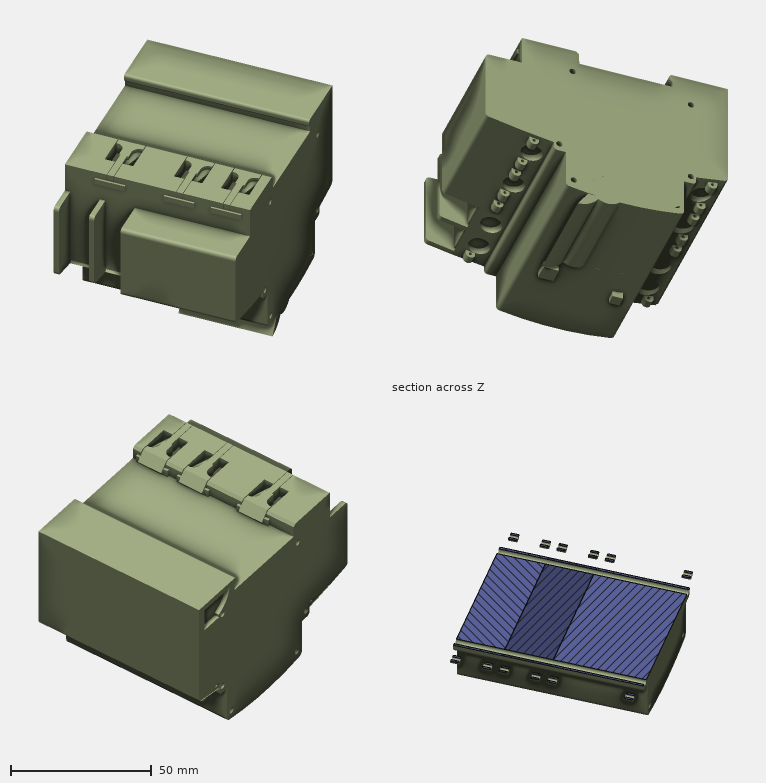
import cadquery as cq
import math


WIDE = 35.0
NARROW = 18.0
NARROW_STARTS = (WIDE, WIDE + NARROW)
MODULES = [(0, WIDE)] + [(start, NARROW) for start in NARROW_STARTS]

BACK = 92.0
TOP = 72.0
WALL_FRONT = 13.8
MIDDLE = (BACK + WALL_FRONT) / 2
HALF_DEPTH = (BACK - WALL_FRONT) / 2
SEAT_Z = 66.5
SEAT_FRONT = 35.4
SEAT_BACK = 70.8
LIP = 1.1
LIP_BOTTOM = 68.7
EDGE_CHAMFER = 1.0
SLOPE_OUTER_Z = 28.15
SLOPE_INNER_Z = 26.2
SHOULDER_HALF = 27.0
SHOULDER_Z = 22.9
UNDERSIDE_SLOPE = (SLOPE_OUTER_Z - SLOPE_INNER_Z) / (HALF_DEPTH - SHOULDER_HALF)
SHOULDER_ROUND = 1.4
CORE_HALF = 22.45
CORE_CORNER_Z = 7.4
CORE_BOTTOM_Z = 5.2
CORE_ROUND = 1.75
OVERLAP = 9.2

BOX_TOP = 60.3
BOX_START = 26.9
BOX_ROUND = 1.6
BOX_RISE = 0.2
RIB_FRONT = 3.1
RIB_THICK = 2.0
RIB_STARTS = (0, 13.5)
UNDERCUT_TOP = 29.5
UNDERCUT_DEPTH = 1.8

RIVET_R = 1.2
RIVETS = ((77.9, 60.2), (33.0, 62.1), (77.9, 26.0), (28.0, 26.0), (33.5, 10.6))
WEB_RIVET = (72.6, 10.6)
WEB_OFFSET = 0.5
WEB_SIZE = 3 * RIVET_R
WEB_TILT = 55
SIDE_POCKET_DEPTH = 1.8
POCKET_BACK = 88.9
POCKET_TOP = 69.6
POCKET_BOTTOM = 60.2
POCKET_TOP_CORNER = 73.8
POCKET_CURVE_MID = (75.4, 65.3)
POCKET_CURVE_END = (78.3, 62.6)
POCKET_STEP = (80.1, 61.4)
HINGE_RECESS_DEPTH = 0.3
HINGE_OFFSET = 28.3
HINGE_Z = 27.9
HINGE_R = 1.5
COVER_INSET = 0.3
COVER_DIP = (20.2, 28.4)
PIVOT_R = 0.6
LOOP_OFFSET = 33.9
LOOP_Z = 26.2
LOOP_R = 1.75
LOOP_HOLE_R = 0.6
LOOP_WIDTH = 3.1
LOOP_INSET = 1.6
LOOP_NECK = 2.6
ACCESS_R = 4.0
ACCESS_Y = 20.8
ACCESS_TOP = 29.4
WIDE_ACCESS = (8.7, 20.8)
NARROW_ACCESS = (9.0,)
PEG_SIZE = 4.0
PEG_X = 21.1
PEG_Y = 65.4
FOOT_BOTTOM = 3.6

HEAD_WIDTH = 10.2
CLIP_POCKET_WIDTH = 10.9
CLIP_POCKET_FRONT = 21.9
SHANK_WIDTH = 3.7
SHANK_BACK = 29.7
SHANK_FRONT = 26.4
HEAD_FRONT = 32.1
HOLLOW_MID = (2.7, 31.3)
STEM_WIDTH = 2.5
SLOT_WIDTH = 2.85
NOSE_Y = 37.8
NOSE_Z = 68.45
NOSE_FOOT_Y = 36.4
WING_WIDTH = 13.9
WING_TOP = 69.5
SKIRT_LEFT_HEIGHT = 0.9
SKIRT_RIGHT_HEIGHT = 4.0
SKIRT_TIP = 2.2
HANDLE_WIDTH = 11.6
HANDLE_THICK = 0.7
HANDLE_BOTTOM = 67.2
HANDLE_TOP = 69.4

HUB_Y = 46.4
HUB_Z = 9.6
HUB_R = 6.3
TAIL_ROOT_BACK = (42.8, 4.5)
TAIL_BELLY = (39.6, 1.3)
TAIL_TIP = (35.05, 0)
TAIL_SHOULDER = (38.9, 5.8)
TAIL_ROOT_FRONT = (41.8, 5.6)
BUTTON_SIZE = 5.9
BUTTON_X = 25.1
BUTTON_Y = 37.0
BUTTON_TOP = 8.3
BUTTON_ROUND = 0.4


def side_plane(x):
    """Drawing plane across X: local coordinates are y and z, extrusion goes toward +X."""
    return cq.Workplane("YZ", origin=(x, 0, 0))


def block(x, y, z, dx, dy, dz):
    return cq.Workplane("XY").box(dx, dy, dz, centered=False).translate((x, y, z))


def flip(solid):
    """Mirror image of a solid on the other side of the plane y = MIDDLE."""
    return solid.mirror("XZ", (0, MIDDLE, 0))


def upper_body(x, width):
    """Body above the shoulder, with the rail channel in its top."""
    return (
        side_plane(x)
        .moveTo(WALL_FRONT, TOP)
        .lineTo(SEAT_FRONT - EDGE_CHAMFER, TOP)
        .lineTo(SEAT_FRONT, TOP - EDGE_CHAMFER)
        .lineTo(SEAT_FRONT, SEAT_Z)
        .lineTo(SEAT_BACK, SEAT_Z)
        .lineTo(SEAT_BACK, LIP_BOTTOM)
        .lineTo(SEAT_BACK - LIP, LIP_BOTTOM + LIP)
        .lineTo(SEAT_BACK - LIP, TOP - LIP)
        .radiusArc((SEAT_BACK, TOP), LIP)
        .lineTo(BACK, TOP)
        .lineTo(BACK, SLOPE_OUTER_Z + EDGE_CHAMFER)
        .lineTo(BACK - EDGE_CHAMFER, SLOPE_OUTER_Z - UNDERSIDE_SLOPE * EDGE_CHAMFER)
        .lineTo(MIDDLE + SHOULDER_HALF, SLOPE_INNER_Z)
        .lineTo(MIDDLE - SHOULDER_HALF, SLOPE_INNER_Z)
        .lineTo(WALL_FRONT, SLOPE_OUTER_Z)
        .close()
        .extrude(width)
    )


def shoulder(x, width):
    height = SLOPE_INNER_Z + OVERLAP - SHOULDER_Z
    solid = block(x, MIDDLE - SHOULDER_HALF, SHOULDER_Z, width, 2 * SHOULDER_HALF, height)
    return solid.edges("|X and <Z").fillet(SHOULDER_ROUND)


def core(x, width):
    """Lowest block, with a shallow arched underside."""
    return (
        side_plane(x)
        .moveTo(MIDDLE - CORE_HALF, SHOULDER_Z + OVERLAP)
        .lineTo(MIDDLE - CORE_HALF, CORE_CORNER_Z)
        .threePointArc((MIDDLE, CORE_BOTTOM_Z), (MIDDLE + CORE_HALF, CORE_CORNER_Z))
        .lineTo(MIDDLE + CORE_HALF, SHOULDER_Z + OVERLAP)
        .close()
        .extrude(width)
        .edges("|X")
        .fillet(CORE_ROUND)
    )


def front_box(x, width, front):
    """Box or rib standing out from the front wall, its underside rising toward the front."""
    root = WALL_FRONT + UNDERCUT_DEPTH
    return (
        side_plane(x)
        .moveTo(root, BOX_TOP)
        .lineTo(front, BOX_TOP)
        .lineTo(front, SLOPE_OUTER_Z + BOX_RISE * (WALL_FRONT - front))
        .lineTo(WALL_FRONT, SLOPE_OUTER_Z)
        .lineTo(root, SLOPE_OUTER_Z - UNDERSIDE_SLOPE * UNDERCUT_DEPTH)
        .close()
        .extrude(width)
        .edges("|X and <Y")
        .fillet(BOX_ROUND)
    )


def cover_loop(x):
    """Small sealing loop hanging below the front sloping underside."""
    y = MIDDLE - LOOP_OFFSET
    eye = side_plane(x).center(y, LOOP_Z).circle(LOOP_R).extrude(LOOP_WIDTH)
    neck = block(x, y - LOOP_R, LOOP_Z, LOOP_WIDTH, 2 * LOOP_R, LOOP_NECK)
    hole = side_plane(x).center(y, LOOP_Z).circle(LOOP_HOLE_R).extrude(LOOP_WIDTH)
    return eye.union(neck).cut(hole)


def access_hole(x):
    """Blind screw access hole rising into the front sloping underside."""
    low = SLOPE_INNER_Z
    return cq.Workplane("XY", origin=(x, ACCESS_Y, low)).circle(ACCESS_R).extrude(ACCESS_TOP - low)


def rivet_holes(x, width):
    return side_plane(x).pushPoints(RIVETS).circle(RIVET_R).extrude(width)


def web_rivet_hole(x, width):
    return side_plane(x).pushPoints([WEB_RIVET]).circle(RIVET_R).extrude(width)


def rivet_web(x, width):
    """Web across the upper front part of the corner rivet hole."""
    y, z = WEB_RIVET
    web = block(x, -WEB_SIZE, -WEB_SIZE / 2, width, WEB_SIZE + WEB_OFFSET, WEB_SIZE)
    return web.rotate((0, 0, 0), (1, 0, 0), -WEB_TILT).translate((0, y, z))


def clip_pocket(x_mid):
    """Recess for a rail clip: wide at the rail, with a narrow slot out to the front wall."""
    height = TOP - SEAT_Z
    wide_length = SEAT_FRONT - CLIP_POCKET_FRONT
    wide_left = x_mid - CLIP_POCKET_WIDTH / 2
    wide = block(wide_left, CLIP_POCKET_FRONT, SEAT_Z, CLIP_POCKET_WIDTH, wide_length, height)
    slot_length = CLIP_POCKET_FRONT - WALL_FRONT
    slot = block(x_mid - SLOT_WIDTH / 2, WALL_FRONT, SEAT_Z, SLOT_WIDTH, slot_length, height)
    return wide.union(slot)


def lever_hub(x, width):
    return side_plane(x).center(HUB_Y, HUB_Z).circle(HUB_R).extrude(width)


def base_housing(x, width, access_positions):
    """Everything the wide and narrow housings have in common."""
    solid = upper_body(x, width).union(shoulder(x, width)).union(core(x, width))
    for loop_x in (x + LOOP_INSET, x + width - LOOP_INSET - LOOP_WIDTH):
        loop = cover_loop(loop_x)
        solid = solid.union(loop).union(flip(loop))
    for position in access_positions:
        hole = access_hole(x + position)
        solid = solid.cut(hole).cut(flip(hole))
    return solid.cut(rivet_holes(x, width)).cut(clip_pocket(x + width / 2))


def side_pocket():
    """Shallow pocket in the outer side, behind the fixed rail hook."""
    return (
        side_plane(0)
        .moveTo(POCKET_BACK, POCKET_TOP)
        .lineTo(POCKET_TOP_CORNER, POCKET_TOP)
        .threePointArc(POCKET_CURVE_MID, POCKET_CURVE_END)
        .lineTo(*POCKET_STEP)
        .lineTo(POCKET_STEP[0], POCKET_BOTTOM)
        .lineTo(POCKET_BACK, POCKET_BOTTOM)
        .close()
        .extrude(SIDE_POCKET_DEPTH)
    )


def hinge_recess():
    """Shallow recess outlining the front terminal cover, with the pivot left standing."""
    hinge_y = MIDDLE - HINGE_OFFSET
    shoulder_y = MIDDLE - SHOULDER_HALF
    diagonal = HINGE_R * math.sqrt(0.5)
    outline = (
        side_plane(0)
        .moveTo(WALL_FRONT + COVER_INSET, HINGE_Z + HINGE_R)
        .threePointArc(COVER_DIP, (hinge_y, HINGE_Z + HINGE_R))
        .threePointArc((hinge_y + diagonal, HINGE_Z + diagonal), (hinge_y + HINGE_R, HINGE_Z))
        .lineTo(shoulder_y, SLOPE_INNER_Z)
        .lineTo(WALL_FRONT + COVER_INSET, SLOPE_OUTER_Z)
        .close()
        .extrude(HINGE_RECESS_DEPTH)
    )
    pivot = side_plane(0).center(hinge_y, HINGE_Z).circle(PIVOT_R).extrude(HINGE_RECESS_DEPTH)
    return outline.cut(pivot)


def front_undercut():
    """Wedge cut along the foot of the open front wall between the ribs."""
    return (
        side_plane(0)
        .moveTo(WALL_FRONT, UNDERCUT_TOP)
        .lineTo(WALL_FRONT + UNDERCUT_DEPTH, UNDERCUT_TOP)
        .lineTo(WALL_FRONT, SLOPE_OUTER_Z)
        .close()
        .extrude(BOX_START)
    )


def test_button():
    height = BUTTON_TOP - FOOT_BOTTOM
    solid = block(BUTTON_X, BUTTON_Y, FOOT_BOTTOM, BUTTON_SIZE, BUTTON_SIZE, height)
    return solid.edges("|Z").fillet(BUTTON_ROUND)


def wide_housing():
    solid = base_housing(0, WIDE, WIDE_ACCESS).cut(front_undercut())
    solid = solid.union(front_box(BOX_START, WIDE - BOX_START, 0))
    for rib_x in RIB_STARTS:
        solid = solid.union(front_box(rib_x, RIB_THICK, RIB_FRONT))
    peg_height = CORE_CORNER_Z - FOOT_BOTTOM
    solid = solid.union(block(PEG_X, PEG_Y, FOOT_BOTTOM, PEG_SIZE, PEG_SIZE, peg_height))
    recess = hinge_recess()
    solid = solid.cut(recess).cut(flip(recess)).cut(side_pocket())
    return solid.cut(web_rivet_hole(0, WIDE)).cut(test_button())


def narrow_housing(x):
    solid = base_housing(x, NARROW, NARROW_ACCESS).union(front_box(x, NARROW, 0))
    partial_hole = web_rivet_hole(x, NARROW).cut(rivet_web(x, NARROW))
    return solid.cut(partial_hole).cut(lever_hub(x, NARROW))


def clip_plate(x_mid):
    """Flat part of the clip: head, shank and stem, with a rounded hollow beside the shank."""
    half_width = (
        cq.Workplane("XY", origin=(x_mid, 0, SEAT_Z))
        .moveTo(0, SEAT_FRONT - EDGE_CHAMFER)
        .lineTo(HEAD_WIDTH / 2, SEAT_FRONT - EDGE_CHAMFER)
        .lineTo(HEAD_WIDTH / 2, HEAD_FRONT)
        .threePointArc(HOLLOW_MID, (SHANK_WIDTH / 2, SHANK_BACK))
        .lineTo(SHANK_WIDTH / 2, SHANK_FRONT)
        .lineTo(STEM_WIDTH / 2, SHANK_FRONT)
        .lineTo(STEM_WIDTH / 2, WALL_FRONT)
        .lineTo(0, WALL_FRONT)
        .close()
        .extrude(TOP - SEAT_Z)
    )
    return half_width.union(half_width.mirror("YZ", (x_mid, 0, 0)))


def clip_nose(x_mid):
    """Wedge that snaps over the rail edge; its slope starts at the top of the head."""
    return (
        side_plane(x_mid - HEAD_WIDTH / 2)
        .moveTo(SEAT_FRONT - EDGE_CHAMFER, TOP)
        .lineTo(NOSE_Y, NOSE_Z)
        .lineTo(NOSE_FOOT_Y, SEAT_Z)
        .lineTo(SEAT_FRONT - EDGE_CHAMFER, SEAT_Z)
        .close()
        .extrude(HEAD_WIDTH)
    )


def clip_skirt(x_mid, side, height):
    """Tapered foot on one side of the shank (side is -1 or 1), resting on the pocket floor."""
    return (
        cq.Workplane("XY", origin=(x_mid, 0, SEAT_Z))
        .moveTo(0, HEAD_FRONT)
        .lineTo(side * HEAD_WIDTH / 2, HEAD_FRONT)
        .lineTo(side * SKIRT_TIP, CLIP_POCKET_FRONT)
        .lineTo(0, CLIP_POCKET_FRONT)
        .close()
        .extrude(height)
    )


def rail_clip(x_mid):
    """Sliding clip: wedge nose on the rail side, stem and T handle at the front."""
    wing_depth = NOSE_FOOT_Y - SEAT_FRONT
    wings = block(x_mid - WING_WIDTH / 2, SEAT_FRONT, SEAT_Z, WING_WIDTH, wing_depth, WING_TOP - SEAT_Z)
    handle = block(
        x_mid - HANDLE_WIDTH / 2,
        WALL_FRONT - HANDLE_THICK,
        HANDLE_BOTTOM,
        HANDLE_WIDTH,
        HANDLE_THICK,
        HANDLE_TOP - HANDLE_BOTTOM,
    )
    solid = clip_plate(x_mid).union(clip_nose(x_mid))
    for side, height in ((-1, SKIRT_LEFT_HEIGHT), (1, SKIRT_RIGHT_HEIGHT)):
        solid = solid.union(clip_skirt(x_mid, side, height))
    return solid.union(wings).union(handle)


def lever(x):
    """Switch lever: round hub in the core of a narrow housing and a curved tail below it."""
    tail = (
        side_plane(x)
        .moveTo(*TAIL_ROOT_BACK)
        .threePointArc(TAIL_BELLY, TAIL_TIP)
        .lineTo(*TAIL_SHOULDER)
        .lineTo(*TAIL_ROOT_FRONT)
        .close()
        .extrude(NARROW)
    )
    return lever_hub(x, NARROW).union(tail)


main_housing = wide_housing()
button = test_button()
narrow_housings = [narrow_housing(x) for x in NARROW_STARTS]
levers = [lever(x) for x in NARROW_STARTS]
clips = [rail_clip(x + width / 2) for x, width in MODULES]

bodies = [main_housing, button, *narrow_housings, *levers, *clips]
result = cq.Compound.makeCompound([body.val() for body in bodies])